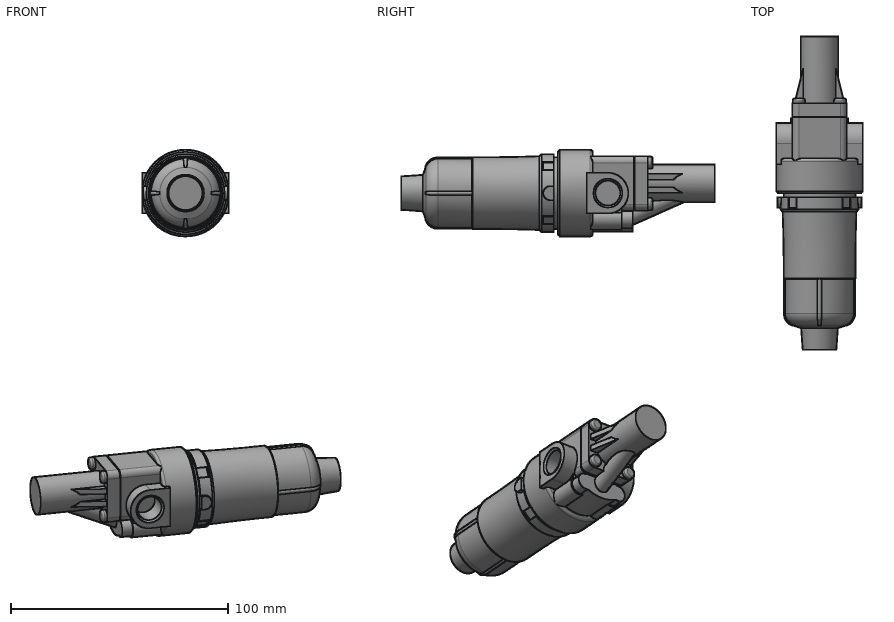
import cadquery as cq
import math


length = 144.5
head_dia = 40.0
head_bottom = 72.1
head_top = 88.3
head_top_fillet = 1.3
head_bottom_chamfer = 1.0

block_side = 25.1
block_corner = 3.0
block_centre_z = 4.5
plate_bottom = 107.5
joint_groove_width = 0.3
joint_groove_depth = 0.1
plate_top = 113.6

stem_dia = 17.5
rib_thickness = 2.6
rib_gap = 3.5
rib_base_x = 11.5
rib_length = 17.3
rib_tip_x = 7.2
screw_dia = 5.8
screw_offset = 9.5
screw_height = 2.3
screw_fillet = 1.0

port_y = 95.2
port_radius = 9.4
port_block_bottom = 85.5
port_bore_dia = 11.4
port_mouth_dia = 13.3
port_depth = 11.5

boss_lobe_dia = 9.2
boss_cap_lobe_dia = 8.0
boss_lobe_x = 9.2
boss_centre_z = -12.3
boss_outer_radius = 17.9
boss_web_top = -7.2
boss_top = 106.6
boss_step_y = 101.6
pipe_dia = 8.0
pipe_end_z = -10.4
pipe_slope = 24.0
pipe_axial_run = 28.9

neck_radius = 16.6
ring_dia = 36.0
ring_top = 70.4
ring_chamfer_y = 64.7
ring_bottom = 63.6
barrel_top_radius = 17.0
barrel_waist_radius = 16.6
barrel_waist_y = 43.4
barrel_bottom_radius = 16.6
barrel_bottom = 33.0
barrel_end_chamfer = 0.5
cup_radius = 15.9
dome_start_y = 16.9
dome_radius = 6.0
dome_end_radius = 12.0
nose_root_y = 10.0
nose_root_radius = 8.5
nose_tip_radius = 7.8

lug_width = 6.5
lug_reach = 19.4
lug_bottom = 65.5
notch_width = 5.0
notch_floor_radius = 17.3
notch_bottom = 65.5
cup_rib_width = 2.2
cup_rib_proud = 0.6
cup_rib_end_proud = 0.1


def section(y):
    """Workplane across the main axis at height y, local x = X and local y = Z, extruding toward -Y."""
    return cq.Workplane("XZ", origin=(0, y, 0))


def rounded_square(top, bottom, inset=0):
    """Square slab around the stem line with rounded corners, shrunk on every side by inset."""
    side = block_side - 2 * inset
    return (
        section(top)
        .center(0, block_centre_z)
        .rect(side, side)
        .extrude(top - bottom)
        .edges("|Y")
        .fillet(block_corner - inset)
    )


def make_neck():
    """Square block and bonnet plate, with a fine groove marking the joint between them."""
    block_top = plate_bottom - joint_groove_width
    block = rounded_square(block_top, head_top - head_top_fillet)
    joint = rounded_square(plate_bottom, block_top, joint_groove_depth)
    plate = rounded_square(plate_top, plate_bottom)
    return block.union(joint).union(plate)


def make_port_block():
    """Round-ended block right across the head."""
    half_width = head_dia / 2
    square_end = port_y - port_block_bottom
    barrel = cq.Workplane("YZ", origin=(-half_width, port_y, 0)).circle(port_radius).extrude(head_dia)
    tail = (
        cq.Workplane("YZ", origin=(-half_width, port_y - square_end / 2, 0))
        .rect(square_end, 2 * port_radius)
        .extrude(head_dia)
    )
    return barrel.union(tail)


def make_port_bore(side):
    """Blind bore with a 45 degree mouth, on the side given by the sign of X."""
    bore_radius = port_bore_dia / 2
    mouth_radius = port_mouth_dia / 2
    face = head_dia / 2
    profile = [
        (face, 0),
        (face, mouth_radius),
        (face - (mouth_radius - bore_radius), bore_radius),
        (face - port_depth, bore_radius),
        (face - port_depth, 0),
    ]
    bore = cq.Workplane("XY").polyline(profile).close().revolve(360, (0, 0), (1, 0))
    if side < 0:
        bore = bore.mirror("YZ")
    return bore.translate((0, port_y, 0))


def make_rib_pair():
    """Triangular ribs through the stem, showing on both of its sides."""
    ribs = cq.Workplane("XY")
    outline = [
        (-rib_base_x, plate_top),
        (rib_base_x, plate_top),
        (rib_tip_x, plate_top + rib_length),
        (-rib_tip_x, plate_top + rib_length),
    ]
    for bottom in (-rib_gap / 2 - rib_thickness, rib_gap / 2):
        rib = cq.Workplane("XY", origin=(0, 0, block_centre_z + bottom))
        ribs = ribs.add(rib.polyline(outline).close().extrude(rib_thickness))
    return ribs.combine()


def make_screw(x, z):
    """Screw head standing on the bonnet plate, with a rounded top edge."""
    head = section(plate_top + screw_height).center(x, z).circle(screw_dia / 2).extrude(screw_height)
    return head.faces(">Y").edges().fillet(screw_fillet)


def boss_layer(top, bottom, lobe_dia):
    """Two round lobes joined by a web whose outer face is round about the main axis."""
    thickness = top - bottom
    lobes = (
        section(top)
        .pushPoints([(-boss_lobe_x, boss_centre_z), (boss_lobe_x, boss_centre_z)])
        .circle(lobe_dia / 2)
        .extrude(thickness)
    )
    disc = section(top).circle(boss_outer_radius).extrude(thickness)
    web = (
        section(top)
        .center(0, boss_web_top - boss_outer_radius / 2)
        .rect(2 * boss_lobe_x, boss_outer_radius)
        .extrude(thickness)
        .intersect(disc)
    )
    return web.union(lobes)


def make_boss():
    """Boss behind the head with a slimmer cap, and the wall that ties it to the block."""
    head_entry = head_top - head_top_fillet
    cap = boss_layer(boss_top, boss_step_y, boss_cap_lobe_dia)
    body = boss_layer(boss_step_y, head_entry, boss_lobe_dia)
    wall_height = block_centre_z - boss_centre_z
    wall = (
        section(boss_step_y)
        .center(0, boss_centre_z + wall_height / 2)
        .rect(block_side, wall_height)
        .extrude(boss_step_y - head_entry)
    )
    return body.union(cap).union(wall)


def make_pipe():
    """Slanted pipe rising from the boss into the stem."""
    slope = math.radians(pipe_slope)
    direction = cq.Vector(0, math.cos(slope), math.sin(slope))
    start = cq.Vector(0, boss_step_y, pipe_end_z - (boss_top - boss_step_y) * math.tan(slope))
    plane = cq.Plane(origin=start, xDir=(1, 0, 0), normal=direction)
    run = pipe_axial_run / math.cos(slope)
    return cq.Workplane(plane).circle(pipe_dia / 2).extrude(run)


def make_head():
    head = section(head_top).circle(head_dia / 2).extrude(head_top - head_bottom)
    head = head.faces(">Y").edges().fillet(head_top_fillet)
    head = head.faces("<Y").edges().chamfer(head_bottom_chamfer)
    head = head.union(make_neck())
    head = head.union(make_port_block())
    head = head.union(make_boss())
    stem = (
        section(length)
        .center(0, block_centre_z)
        .circle(stem_dia / 2)
        .extrude(length - plate_top)
    )
    head = head.union(stem)
    head = head.union(make_rib_pair())
    head = head.union(make_pipe())
    for x in (-screw_offset, screw_offset):
        for z in (-screw_offset, screw_offset):
            head = head.union(make_screw(x, block_centre_z + z))
    for side in (-1, 1):
        head = head.cut(make_port_bore(side))
    return head


dome_centre_x = cup_radius - dome_radius
dome_end_angle = math.acos((dome_end_radius - dome_centre_x) / dome_radius)


def dome_point(angle, inset=0):
    """Point on the dome's profile arc, measured from its start on the cup, moved inward by inset."""
    reach = dome_radius - inset
    return (dome_centre_x + reach * math.cos(angle), dome_start_y - reach * math.sin(angle))


def make_bowl_core():
    """Turned shape of the bowl, from the neck under the head to the nose tip."""
    return (
        cq.Workplane("XY")
        .moveTo(0, head_bottom)
        .lineTo(neck_radius, head_bottom)
        .lineTo(neck_radius, ring_top)
        .lineTo(ring_dia / 2, ring_top)
        .lineTo(ring_dia / 2, ring_chamfer_y)
        .lineTo(barrel_top_radius, ring_bottom)
        .threePointArc((barrel_waist_radius, barrel_waist_y), (barrel_bottom_radius, barrel_bottom))
        .lineTo(barrel_bottom_radius - barrel_end_chamfer, barrel_bottom - barrel_end_chamfer)
        .lineTo(cup_radius, barrel_bottom - barrel_end_chamfer)
        .lineTo(cup_radius, dome_start_y)
        .threePointArc(dome_point(dome_end_angle / 2), dome_point(dome_end_angle))
        .lineTo(nose_root_radius, nose_root_y)
        .lineTo(nose_tip_radius, 0)
        .lineTo(0, 0)
        .close()
        .revolve(360, (0, 0), (0, 1))
    )


def make_lugs():
    """Half-round lugs on the ring at both ends of the X direction."""
    radius = lug_width / 2
    centre_y = lug_bottom + radius
    lugs = cq.Workplane("YZ", origin=(-lug_reach, centre_y, 0)).circle(radius).extrude(2 * lug_reach)
    straight = ring_top - centre_y
    top = cq.Workplane("YZ", origin=(-lug_reach, centre_y + straight / 2, 0))
    lugs = lugs.union(top.rect(straight, lug_width).extrude(2 * lug_reach))
    above = section(length).rect(length, length).extrude(length - ring_top)
    core = section(length).circle(neck_radius).extrude(length)
    return lugs.cut(above).cut(core)


def make_notch(angle):
    """Shallow flat-floored notch in the ring, open toward the head."""
    depth = ring_dia / 2
    height = ring_top - notch_bottom
    notch = cq.Workplane("XY").box(depth, height, notch_width, centered=(False, False, True))
    notch = notch.translate((notch_floor_radius, notch_bottom, 0))
    return notch.rotate((0, 0, 0), (0, 1, 0), angle)


def make_cup_rib(angle):
    """Round-backed rib along the cup that runs out over the dome."""
    radius = cup_rib_width / 2
    centre = cup_radius + cup_rib_proud - radius
    path = (
        cq.Workplane("XY")
        .moveTo(centre, barrel_bottom)
        .lineTo(centre, dome_start_y)
        .tangentArcPoint(dome_point(dome_end_angle, radius - cup_rib_end_proud), relative=False)
    )
    rib = cq.Workplane("XZ", origin=(centre, barrel_bottom, 0)).circle(radius).sweep(path)
    return rib.rotate((0, 0, 0), (0, 1, 0), angle)


def make_bowl():
    bowl = make_bowl_core().union(make_lugs())
    for angle in (45, 135, 225, 315):
        bowl = bowl.cut(make_notch(angle))
    for angle in (0, 90, 180, 270):
        bowl = bowl.union(make_cup_rib(angle))
    return bowl


head = make_head()
bowl = make_bowl()
result = cq.Compound.makeCompound([head.val(), bowl.val()])